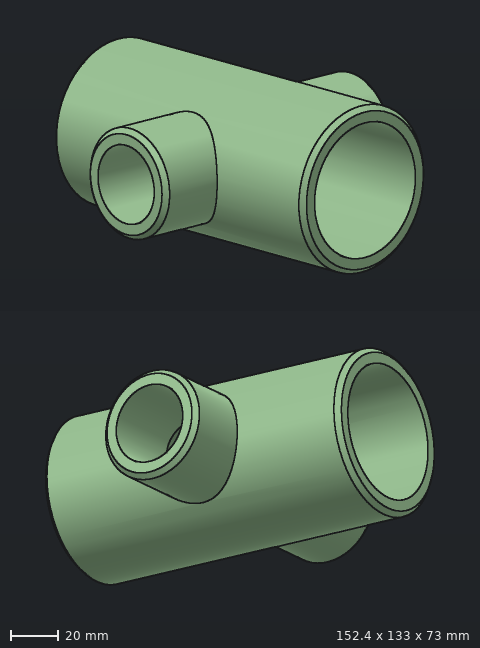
import cadquery as cq

run_length = 152.4
run_diameter = 73.0
branch_span = 133.0
branch_diameter = 48.3
wall = 7.0
end_chamfer = 2.3


def centred_cylinder(plane, diameter, length):
    """Cylinder centred on the origin, along the normal of the plane."""
    return cq.Workplane(plane).circle(diameter / 2).extrude(length / 2, both=True)


def chamfered_pipe(plane, axis, diameter, length):
    """Solid pipe body with both outer end edges chamfered."""
    body = centred_cylinder(plane, diameter, length)
    return body.faces(f"<{axis} or >{axis}").edges().chamfer(end_chamfer)


run = chamfered_pipe("YZ", "X", run_diameter, run_length)
branches = chamfered_pipe("XZ", "Y", branch_diameter, branch_span)

run_bore = centred_cylinder("YZ", run_diameter - 2 * wall, run_length)
branch_bore = centred_cylinder("XZ", branch_diameter - 2 * wall, branch_span)

result = run.union(branches).cut(run_bore).cut(branch_bore)